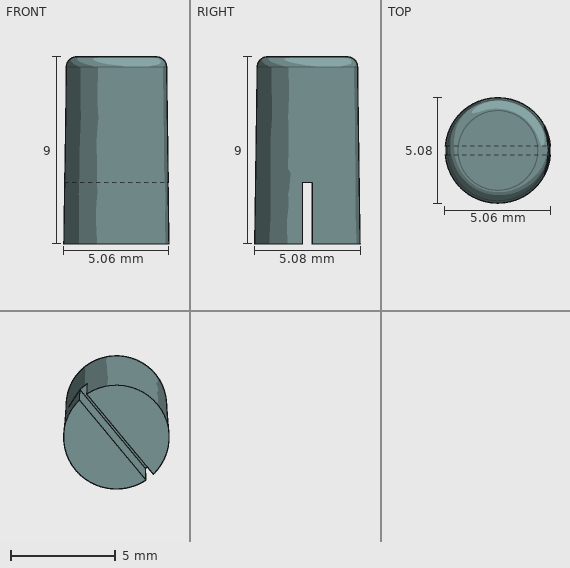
import cadquery as cq

height = 9.0
base_radius = 2.54
top_radius = 2.41
top_rounding = 0.5

slot_width = 0.45
slot_depth = 2.95


def tapered_body():
    """Solid cone frustum with a rounded top edge."""
    body = (
        cq.Workplane("XY")
        .circle(base_radius)
        .workplane(offset=height)
        .circle(top_radius)
        .loft(ruled=True)
    )
    return body.faces(">Z").edges().fillet(top_rounding)


def bottom_slot():
    """Square-ended slot, open at the base and on both sides."""
    slot_length = 2 * base_radius
    return cq.Workplane("XY").box(
        slot_length, slot_width, slot_depth, centered=(True, True, False)
    )


result = tapered_body().cut(bottom_slot())